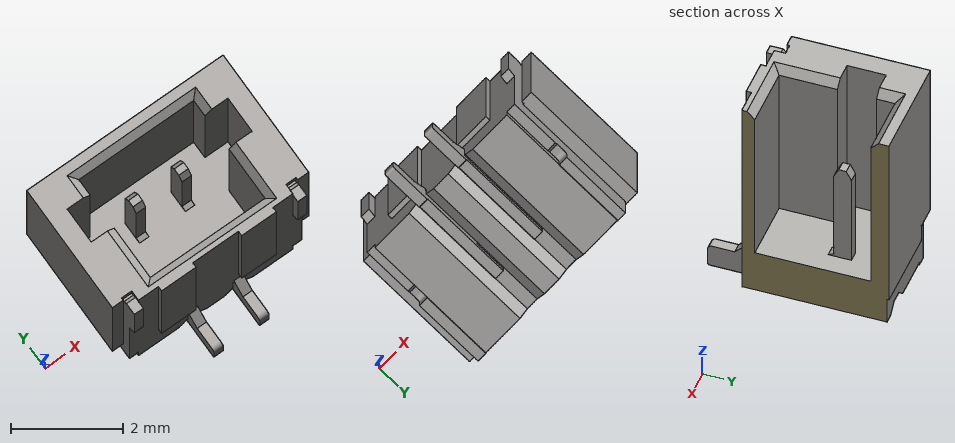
import cadquery as cq


width = 4.3
height = 4.3
rear_y = 2.8
base_z = 0.05
core_half_width = 1.69
wall_front_y = 0.16
wall_base_z = 0.95
rear_relief_y = 2.76
rear_relief_z = 0.6

floor_z = wall_base_z
cavity_half_width = 1.255
cavity_front_y = 0.25
cavity_rear_y = 2.45
mouth_chamfer = 0.15
key_half_width = 1.76
key_front_y = 1.36
key_rear_y = 2.103

rib_outer_x = 1.255
rib_inner_x = 0.5
rib_proud = 0.1
rib_base_z = 1.04

plate_thickness = 0.198
plate_gap = 0.02
plate_outer_x = core_half_width + plate_thickness
plate_top_z = 4.2
plate_proud = 0.15
head_base_z = 2.8
plate_back_y = 0.165
plate_top_chamfer = 0.07
slot_back_y = 0.21
foot_front_y = 1.3
arm_base_z = 0.3
arch_top_z = 0.35
arch_radius = 0.108
arch_flat = 0.13
arch_rise = arch_top_z - arm_base_z

pin_pitch = 1.0
pin_width = 0.205
tail_end_y = -0.8
tail_top_z = 0.47
tail_ramp = 0.28
tail_top_radius = 0.1
tail_bottom_radius = 0.05
tail_heel_y = 0.05
post_front_y = 1.6
post_rear_y = 1.94
post_top_z = 3.055
tip_taper_y = 0.1
tip_taper_z = 0.19
root_bevel_y = 0.105
root_bevel_z = 0.05

relief_side_gap = 0.02
relief_top_z = 0.24
slit_top_z = 0.6
slit_depth = 1.29


def box(x0, x1, y0, y1, z0, z1):
    """Box between two opposite corners."""
    return cq.Workplane("XY").box(x1 - x0, y1 - y0, z1 - z0, centered=False).translate((x0, y0, z0))


def make_housing():
    """Core block, outer side walls and the step along the lower rear edge."""
    half = width / 2
    core = box(-core_half_width, core_half_width, 0, rear_y, base_z, height)
    walls = box(-half, half, wall_front_y, rear_y, wall_base_z, height)
    step = box(-half, half, rear_relief_y, rear_y, base_z, rear_relief_z)
    return core.union(walls).cut(step)


def make_cavity():
    """Chamfered mating cavity with a keyway on each side."""
    depth = cavity_rear_y - cavity_front_y
    mid_y = (cavity_rear_y + cavity_front_y) / 2
    well = box(-cavity_half_width, cavity_half_width, cavity_front_y, cavity_rear_y, floor_z, height)
    mouth = (
        cq.Workplane("XY", origin=(0, mid_y, height - mouth_chamfer))
        .rect(2 * cavity_half_width, depth)
        .workplane(offset=mouth_chamfer)
        .rect(2 * (cavity_half_width + mouth_chamfer), depth + 2 * mouth_chamfer)
        .loft(ruled=True)
    )
    keyways = box(-key_half_width, key_half_width, key_front_y, key_rear_y, floor_z, height)
    return well.union(mouth).union(keyways)


def make_rib():
    """Right-hand front rib."""
    return box(rib_inner_x, rib_outer_x, -rib_proud, 0, rib_base_z, height)


def make_plate_slot():
    """Slot in the right-hand wall for the upright strip of the plate."""
    return box(core_half_width, plate_outer_x + plate_gap, 0, slot_back_y, wall_base_z, height)


def make_plate():
    """Right-hand hold-down plate: upright strip with a thick head, arm, arch and foot."""
    arch_left_y = foot_front_y - arch_radius
    arch_right_y = arch_left_y - arch_flat
    profile = (
        cq.Workplane("YZ", origin=(core_half_width, 0, 0))
        .moveTo(rear_relief_y, 0)
        .lineTo(foot_front_y, 0)
        .lineTo(foot_front_y, arch_top_z - arch_radius)
        .radiusArc((arch_left_y, arch_top_z), -arch_radius)
        .lineTo(arch_right_y, arch_top_z)
        .lineTo(arch_right_y - arch_rise, arm_base_z)
        .lineTo(0, arm_base_z)
        .lineTo(0, head_base_z - plate_proud)
        .lineTo(-plate_proud, head_base_z)
        .lineTo(-plate_proud, plate_top_z)
        .lineTo(plate_back_y - plate_top_chamfer, plate_top_z)
        .lineTo(plate_back_y, plate_top_z - plate_top_chamfer)
        .lineTo(slot_back_y, plate_top_z - plate_top_chamfer)
        .lineTo(slot_back_y, wall_base_z)
        .lineTo(rear_relief_y, wall_base_z)
        .close()
    )
    return profile.extrude(plate_thickness)


def make_pin(center_x):
    """Bent pin: ramped tail, level run under the cavity and tapered contact post."""
    profile = (
        cq.Workplane("YZ", origin=(center_x - pin_width / 2, 0, 0))
        .moveTo(post_rear_y, base_z)
        .lineTo(tail_heel_y, base_z)
        .lineTo(tail_heel_y, 0)
        .lineTo(tail_end_y + tail_bottom_radius, 0)
        .radiusArc((tail_end_y, tail_bottom_radius), tail_bottom_radius)
        .lineTo(tail_end_y, tail_top_z - tail_top_radius)
        .radiusArc((tail_end_y + tail_top_radius, tail_top_z), tail_top_radius)
        .lineTo(-tail_ramp, tail_top_z)
        .lineTo(0, tail_top_z + tail_ramp)
        .lineTo(0, floor_z)
        .lineTo(post_front_y - root_bevel_y, floor_z)
        .lineTo(post_front_y, floor_z + root_bevel_z)
        .lineTo(post_front_y, post_top_z - tip_taper_z)
        .lineTo(post_front_y + tip_taper_y, post_top_z)
        .lineTo(post_rear_y - tip_taper_y, post_top_z)
        .lineTo(post_rear_y, post_top_z - tip_taper_z)
        .close()
    )
    return profile.extrude(pin_width)


def make_pin_relief(side):
    """Flared notch under the housing along a pin, with a slit on the pin's inner side."""
    center_x = side * pin_pitch / 2
    top_half = pin_width / 2 + relief_side_gap
    bottom_half = top_half + relief_top_z - base_z
    notch = (
        cq.Workplane("XZ", origin=(center_x, 0, 0))
        .polyline([
            (-bottom_half, base_z),
            (bottom_half, base_z),
            (top_half, relief_top_z),
            (-top_half, relief_top_z),
        ])
        .close()
        .extrude(-rear_y)
    )
    slit = (
        cq.Workplane("XY", origin=(center_x - side * relief_side_gap, slit_depth / 2, base_z))
        .rect(pin_width, slit_depth)
        .extrude(slit_top_z - base_z)
    )
    return notch.union(slit)


housing = make_housing().cut(make_cavity())
for side in (-1, 1):
    housing = housing.cut(make_pin_relief(side))

slot = make_plate_slot()
rib = make_rib()
plate = make_plate()
housing = housing.cut(slot).cut(slot.mirror("YZ"))
for feature in (rib, plate):
    housing = housing.union(feature).union(feature.mirror("YZ"))

for side in (-1, 1):
    housing = housing.union(make_pin(side * pin_pitch / 2))

result = housing